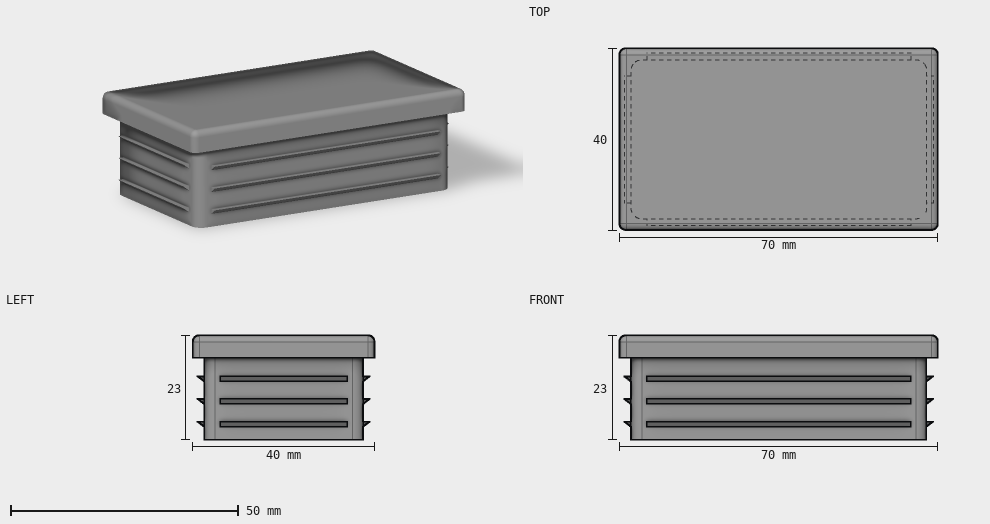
import cadquery as cq

cap_length = 70.0
cap_width = 40.0
cap_height = 5.0
cap_round = 1.5

total_height = 23.0
plug_inset = 2.5
plug_length = cap_length - 2 * plug_inset
plug_width = cap_width - 2 * plug_inset
plug_corner_radius = 2.4

fin_reach = 1.5
fin_height = 1.1
fin_end_inset = 3.5
first_fin_depth = 9.0
fin_pitch = 5.0
fin_count = 3
wall_overlap = 0.35


def make_cap():
    block = cq.Workplane("XY").box(cap_length, cap_width, cap_height, centered=(True, True, False))
    rounded = block.edges("|Z or >Z").fillet(cap_round)
    return rounded.translate((0, 0, -cap_height))


def make_plug():
    block = cq.Workplane("XY").box(plug_length, plug_width, total_height, centered=(True, True, False))
    return block.edges("|Z").fillet(plug_corner_radius).translate((0, 0, -total_height))


def make_fin(wall_distance, wall_length, top_z):
    """Fin running along Y on a wall facing +X."""
    profile = [
        (wall_distance - wall_overlap, top_z),
        (wall_distance + fin_reach, top_z),
        (wall_distance, top_z - fin_height),
        (wall_distance - wall_overlap, top_z - fin_height),
    ]
    fin_length = wall_length - 2 * fin_end_inset
    return cq.Workplane("XZ").polyline(profile).close().extrude(fin_length / 2, both=True)


result = make_cap().union(make_plug())

walls = [
    (0, plug_length / 2, plug_width),
    (90, plug_width / 2, plug_length),
    (180, plug_length / 2, plug_width),
    (270, plug_width / 2, plug_length),
]
for angle, wall_distance, wall_length in walls:
    for index in range(fin_count):
        top_z = -first_fin_depth - index * fin_pitch
        fin = make_fin(wall_distance, wall_length, top_z)
        result = result.union(fin.rotate((0, 0, 0), (0, 0, 1), angle))